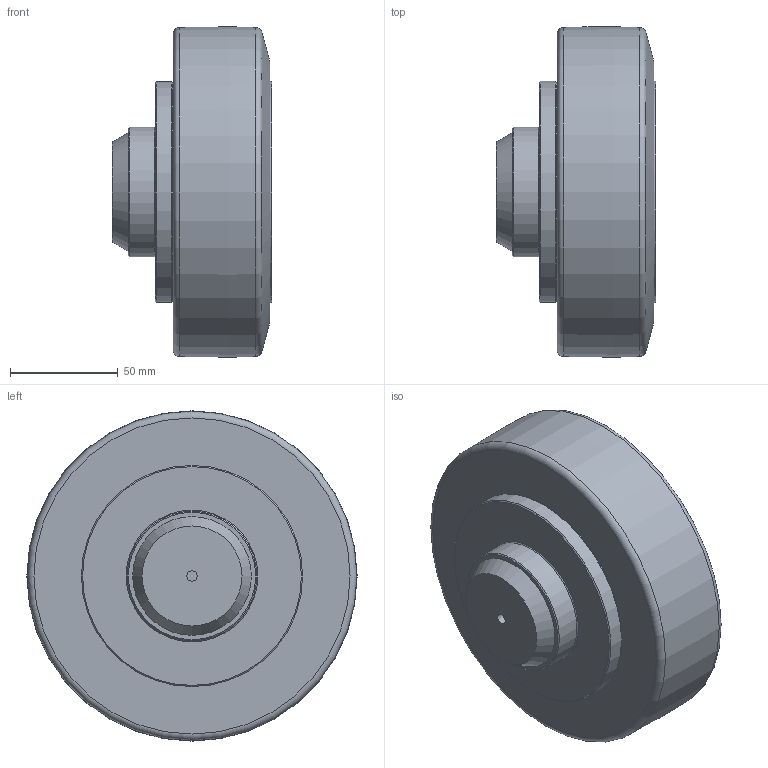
import cadquery as cq
import math


overall_length = 74.0
boss_start = 7.5
flange_start = 20.0
flange_end = 28.0
wheel_start = 28.3
wheel_end = 73.1

boss_radius = 60.0 / 2
boss_chamfer = 0.5
boss_flare = 0.5
nose_base_radius = 55.0 / 2
nose_half_angle = math.radians(30)
nose_tip_radius = nose_base_radius - boss_start * math.tan(nose_half_angle)

flange_radius = 102.5 / 2
flange_chamfer_length = 0.5
neck_radius = 101.4 / 2
flange_chamfer_height = flange_radius - neck_radius
rear_disc_radius = flange_radius

wheel_radius = 153.1 / 2
crown_radius = 500.0
edge_fillet = 3.0
tread_start = wheel_start + edge_fillet
tread_end = 66.5
tread_middle = (tread_start + tread_end) / 2
crown_drop = crown_radius - math.sqrt(crown_radius**2 - (tread_middle - tread_start) ** 2)
tread_edge_radius = wheel_radius - crown_drop
taper_angle = math.radians(15)
taper_start = tread_end + edge_fillet * math.cos(taper_angle)
taper_start_radius = tread_edge_radius - edge_fillet * (1 - math.sin(taper_angle))
taper_end_radius = taper_start_radius - (wheel_end - taper_start) / math.tan(taper_angle)

centre_hole_diameter = 4.92
centre_hole_depth = 5.0


def arc_point(centre_x, centre_radius, arc_radius, angle):
    """Point on a profile arc, with the angle measured from the +X direction."""
    return (centre_x + arc_radius * math.cos(angle), centre_radius + arc_radius * math.sin(angle))


def turned_body():
    """Revolve the half profile, drawn as (station, radius), about the X axis."""
    fillet_centre_radius = tread_edge_radius - edge_fillet
    front_fillet_middle = arc_point(tread_start, fillet_centre_radius, edge_fillet, math.radians(135))
    rear_fillet_middle = arc_point(
        tread_end, fillet_centre_radius, edge_fillet, (math.pi / 2 + taper_angle) / 2
    )
    profile = (
        cq.Workplane("XY")
        .moveTo(0, 0)
        .lineTo(0, nose_tip_radius)
        .lineTo(boss_start, nose_base_radius)
        .lineTo(boss_start, boss_radius - boss_chamfer)
        .lineTo(boss_start + boss_chamfer, boss_radius)
        .lineTo(flange_start - boss_flare, boss_radius)
        .lineTo(flange_start, boss_radius + boss_flare)
        .lineTo(flange_start, flange_radius - flange_chamfer_height)
        .lineTo(flange_start + flange_chamfer_length, flange_radius)
        .lineTo(flange_end - flange_chamfer_length, flange_radius)
        .lineTo(flange_end, neck_radius)
        .lineTo(wheel_start, neck_radius)
        .lineTo(wheel_start, fillet_centre_radius)
        .threePointArc(front_fillet_middle, (tread_start, tread_edge_radius))
        .threePointArc((tread_middle, wheel_radius), (tread_end, tread_edge_radius))
        .threePointArc(rear_fillet_middle, (taper_start, taper_start_radius))
        .lineTo(wheel_end, taper_end_radius)
        .lineTo(wheel_end, rear_disc_radius)
        .lineTo(overall_length, rear_disc_radius)
        .lineTo(overall_length, 0)
        .close()
    )
    return profile.revolve(360, (0, 0, 0), (1, 0, 0))


def centre_hole():
    """Flat-bottomed blind hole entering the nose face."""
    return cq.Workplane("YZ").circle(centre_hole_diameter / 2).extrude(centre_hole_depth)


result = turned_body().cut(centre_hole())